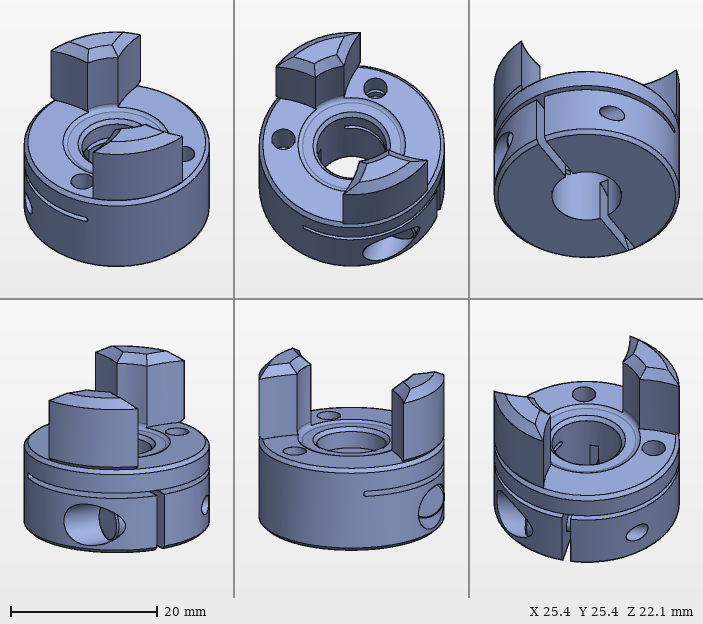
import cadquery as cq
import math

OUTER_DIA = 25.4
OUTER_RADIUS = OUTER_DIA / 2
HUB_HEIGHT = 11.96
TOTAL_HEIGHT = 22.05
RIM_CHAMFER = 0.53
BORE_DIA = 9.52
BORE_CHAMFER = 0.53

RECESS_FLOOR_RADIUS = 6.73
RECESS_DEPTH = 0.3
RECESS_FILLET = 0.8
RECESS_WALL_RADIUS = RECESS_FLOOR_RADIUS + RECESS_FILLET
RECESS_FLOOR_Z = HUB_HEIGHT - RECESS_DEPTH

JAW_COUNT = 2
JAW_SIDE_OUTER_X = -3.28
JAW_SIDE_OUTER = (JAW_SIDE_OUTER_X, math.sqrt(OUTER_RADIUS**2 - JAW_SIDE_OUTER_X**2))
JAW_SIDE_MIDDLE = (-3.7, 9.65)
JAW_SIDE_INNER_X = -3.4
JAW_SIDE_INNER = (JAW_SIDE_INNER_X, math.sqrt(RECESS_FLOOR_RADIUS**2 - JAW_SIDE_INNER_X**2))
JAW_CHAMFER = 1.25

AXIAL_HOLE_DIA = 3.18
AXIAL_HOLE_PITCH_RADIUS = 9.4
AXIAL_HOLE_DEPTH = 5.08
FLAT_HOLE_ANGLE = 15.0
DRILLED_HOLE_ANGLE = -90.0
DRILL_TIP_ANGLE = 118.0

LEVEL_SLOT_BOTTOM = 8.0
LEVEL_SLOT_WIDTH = 0.75
LEVEL_SLOT_END_X = 2.57
CLAMP_GAP = 1.2

HINGE_BLADE_RADIUS = 14.7
HINGE_BLADE_CENTER_Z = -7.16

SCREW_X = -8.75
SCREW_Z = 4.0
SHANK_HOLE_DIA = 2.57
SHANK_DIA = 2.45
HEAD_DIA = 5.5
HEAD_HOLE_DIA = 5.95
HEAD_SEAT_Y = 3.55
HEAD_END_Y = 6.1
HEAD_CHAMFER = 0.25
SHANK_END_Y = -7.1
TIP_CHAMFER = 0.18


def y_cylinder(diameter, y_start, y_end):
    """Cylinder on the screw axis between two Y positions."""
    return (
        cq.Workplane("XZ", origin=(SCREW_X, y_start, SCREW_Z))
        .circle(diameter / 2)
        .extrude(y_start - y_end)
    )


def across_diagonal(point):
    return (-point[1], -point[0])


def jaw_blank():
    """Upright prism with the jaw profile, reaching in to the edge of the recess floor."""
    diagonal_part = math.sqrt(0.5)
    outer_middle = (-OUTER_RADIUS * diagonal_part, OUTER_RADIUS * diagonal_part)
    inner_middle = (-RECESS_FLOOR_RADIUS * diagonal_part, RECESS_FLOOR_RADIUS * diagonal_part)
    return (
        cq.Workplane("XY", origin=(0, 0, RECESS_FLOOR_Z))
        .moveTo(*JAW_SIDE_OUTER)
        .threePointArc(JAW_SIDE_MIDDLE, JAW_SIDE_INNER)
        .threePointArc(inner_middle, across_diagonal(JAW_SIDE_INNER))
        .threePointArc(across_diagonal(JAW_SIDE_MIDDLE), across_diagonal(JAW_SIDE_OUTER))
        .threePointArc(outer_middle, JAW_SIDE_OUTER)
        .close()
        .extrude(TOTAL_HEIGHT - RECESS_FLOOR_Z)
    )


def make_jaw():
    """Jaw with a chamfered top and a foot that reaches in to the recess fillet."""
    foot_top_z = RECESS_FLOOR_Z + RECESS_FILLET
    space_above_foot = (
        cq.Workplane("XY", origin=(0, 0, foot_top_z))
        .circle(RECESS_WALL_RADIUS)
        .extrude(TOTAL_HEIGHT - foot_top_z)
    )
    return jaw_blank().cut(space_above_foot).faces(">Z").chamfer(JAW_CHAMFER)


def make_rim_groove():
    """V groove that chamfers the top rim and undercuts the outside of the jaws."""
    return (
        cq.Workplane("XZ")
        .moveTo(OUTER_RADIUS - RIM_CHAMFER, HUB_HEIGHT)
        .lineTo(OUTER_RADIUS + RIM_CHAMFER, HUB_HEIGHT + 2 * RIM_CHAMFER)
        .lineTo(OUTER_RADIUS + RIM_CHAMFER, HUB_HEIGHT - 2 * RIM_CHAMFER)
        .close()
        .revolve(360, (0, 0, 0), (0, 1, 0))
    )


def make_recess_and_bore():
    """Bore with a chamfered top edge, opening into the filleted recess."""
    bore_radius = BORE_DIA / 2
    fillet_middle = (
        RECESS_FLOOR_RADIUS + RECESS_FILLET * math.sqrt(0.5),
        RECESS_FLOOR_Z + RECESS_FILLET * (1 - math.sqrt(0.5)),
    )
    fillet_top_z = RECESS_FLOOR_Z + RECESS_FILLET
    return (
        cq.Workplane("XZ")
        .lineTo(bore_radius, 0)
        .lineTo(bore_radius, RECESS_FLOOR_Z - BORE_CHAMFER)
        .lineTo(bore_radius + BORE_CHAMFER, RECESS_FLOOR_Z)
        .lineTo(RECESS_FLOOR_RADIUS, RECESS_FLOOR_Z)
        .threePointArc(fillet_middle, (RECESS_WALL_RADIUS, fillet_top_z))
        .lineTo(0, fillet_top_z)
        .close()
        .revolve(360, (0, 0, 0), (0, 1, 0))
    )


def make_axial_hole(angle):
    """Flat-bottomed hole in the top face, at an angle around the axis."""
    x = AXIAL_HOLE_PITCH_RADIUS * math.cos(math.radians(angle))
    y = AXIAL_HOLE_PITCH_RADIUS * math.sin(math.radians(angle))
    return (
        cq.Workplane("XY", origin=(x, y, HUB_HEIGHT - AXIAL_HOLE_DEPTH))
        .circle(AXIAL_HOLE_DIA / 2)
        .extrude(AXIAL_HOLE_DEPTH)
    )


def make_drilled_hole():
    """Axial hole that ends in a drill-point cone."""
    tip_height = AXIAL_HOLE_DIA / 2 / math.tan(math.radians(DRILL_TIP_ANGLE / 2))
    hole = make_axial_hole(DRILLED_HOLE_ANGLE)
    base = hole.faces("<Z").val().Center()
    tip = cq.Solid.makeCone(AXIAL_HOLE_DIA / 2, 0, tip_height, base, cq.Vector(0, 0, -1))
    return hole.union(cq.Workplane(tip))


def make_level_slot():
    """Level slot from the -X side, running through along Y, with a round end."""
    half_width = LEVEL_SLOT_WIDTH / 2
    middle_z = LEVEL_SLOT_BOTTOM + half_width
    arc_start_x = LEVEL_SLOT_END_X - half_width
    return (
        cq.Workplane("XZ")
        .moveTo(-OUTER_RADIUS, middle_z - half_width)
        .lineTo(arc_start_x, middle_z - half_width)
        .threePointArc((LEVEL_SLOT_END_X, middle_z), (arc_start_x, middle_z + half_width))
        .lineTo(-OUTER_RADIUS, middle_z + half_width)
        .close()
        .extrude(OUTER_RADIUS, both=True)
    )


def make_clamp_gap():
    """Upright slot through the -X wall, from the bottom face to the level slot."""
    return cq.Workplane("XY").box(
        OUTER_RADIUS,
        CLAMP_GAP,
        LEVEL_SLOT_BOTTOM + LEVEL_SLOT_WIDTH / 2,
        centered=(False, True, False),
    ).translate((-OUTER_RADIUS, 0, 0))


def make_hinge_relief():
    """Slot with an arched top, in line with the clamp gap."""
    return (
        cq.Workplane("XZ", origin=(0, 0, HINGE_BLADE_CENTER_Z))
        .circle(HINGE_BLADE_RADIUS)
        .extrude(CLAMP_GAP / 2, both=True)
    )


def make_screw_hole():
    """Shank hole through the clamp ring, with a larger hole for the head at +Y."""
    shank_hole = y_cylinder(SHANK_HOLE_DIA, -OUTER_RADIUS, HEAD_SEAT_Y)
    head_hole = y_cylinder(HEAD_HOLE_DIA, HEAD_SEAT_Y, OUTER_RADIUS)
    return shank_hole.union(head_hole)


def make_hub():
    hub = cq.Workplane("XY").circle(OUTER_RADIUS).extrude(HUB_HEIGHT)
    hub = hub.faces("<Z").edges().chamfer(RIM_CHAMFER)
    jaw = make_jaw()
    for index in range(JAW_COUNT):
        hub = hub.union(jaw.rotate((0, 0, 0), (0, 0, 1), index * 360 / JAW_COUNT))
    hub = hub.cut(make_rim_groove())
    hub = hub.cut(make_recess_and_bore())
    hub = hub.cut(make_axial_hole(FLAT_HOLE_ANGLE))
    hub = hub.cut(make_drilled_hole())
    hub = hub.cut(make_level_slot())
    hub = hub.cut(make_clamp_gap())
    hub = hub.cut(make_hinge_relief())
    return hub.cut(make_screw_hole())


def make_clamp_screw():
    """Screw with a plain round head, both ends chamfered."""
    shank = y_cylinder(SHANK_DIA, SHANK_END_Y, HEAD_SEAT_Y).faces("<Y").chamfer(TIP_CHAMFER)
    head = y_cylinder(HEAD_DIA, HEAD_SEAT_Y, HEAD_END_Y).faces(">Y").chamfer(HEAD_CHAMFER)
    return shank.union(head)


hub = make_hub()
clamp_screw = make_clamp_screw()

result = cq.Compound.makeCompound([hub.val(), clamp_screw.val()])